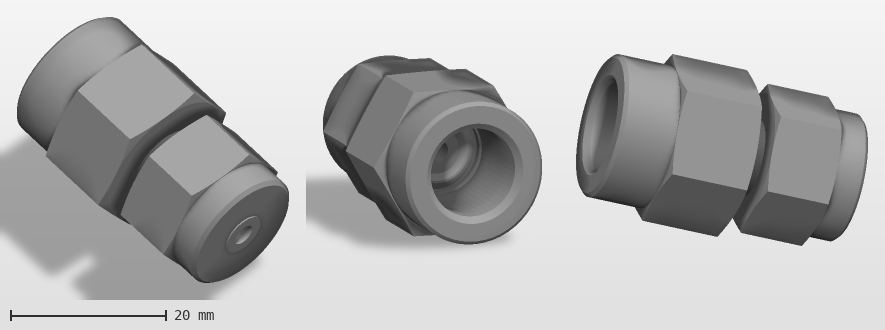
import cadquery as cq
import math

TOTAL_LENGTH = 34.0

COLLAR_DIAMETER = 18.8
COLLAR_LENGTH = 7.48
COLLAR_CHAMFER = 0.48
BODY_HEX_WIDTH = 19.0
BODY_HEX_LENGTH = 11.0
NECK_DIAMETER = 10.0
SPIGOT_DIAMETER = 5.78
THROUGH_DIAMETER = 3.0

SOCKET_MOUTH_DIAMETER = 13.2
SOCKET_DIAMETER = 11.55
SOCKET_DEPTH = 12.92
RELIEF_DIAMETER = 10.95
RELIEF_DEPTH = 1.02
NOSE_BASE_DIAMETER = 10.05
NOSE_TIP_DIAMETER = 8.3
NOSE_DISH_DIAMETER = 7.7
NOSE_FLOOR_DIAMETER = 6.0
NOSE_SLOPE = 30.0

NUT_START = 20.8
NUT_HEX_WIDTH = 17.0
NUT_HEX_LENGTH = 9.0
NUT_END_DIAMETER = 16.8
NUT_END_LENGTH = 3.98
NUT_END_CHAMFER = 0.5

HEX_CORNER_ANGLE = 15.0

BODY_HEX_END = COLLAR_LENGTH + BODY_HEX_LENGTH
NUT_HEX_END = NUT_START + NUT_HEX_LENGTH
NUT_END = NUT_HEX_END + NUT_END_LENGTH
NECK_END = NUT_HEX_END


def revolve_about_x(points):
    """Solid of revolution about the X axis from a closed (x, radius) outline."""
    return cq.Workplane("XY").polyline(points).close().revolve(360, (0, 0, 0), (1, 0, 0))


def cylinder(start, end, diameter):
    """Solid cylinder along X between two stations."""
    return cq.Workplane("YZ", origin=(start, 0, 0)).circle(diameter / 2).extrude(end - start)


def turned_hexagon(start, length, width):
    """Hexagon along X, flats facing +Z and -Z, with the corners turned off at both ends."""
    end = start + length
    flat_radius = width / 2
    corner_radius = flat_radius / math.cos(math.radians(30))
    setback = (corner_radius - flat_radius) * math.tan(math.radians(HEX_CORNER_ANGLE))
    prism = cq.Workplane("YZ", origin=(start, 0, 0)).polygon(6, 2 * corner_radius).extrude(length)
    envelope = revolve_about_x([
        (start, 0),
        (start, flat_radius),
        (start + setback, corner_radius),
        (end - setback, corner_radius),
        (end, flat_radius),
        (end, 0),
    ])
    return prism.intersect(envelope)


def make_socket():
    """Volume of the collar socket: countersunk bore, relief and the space around the nose."""
    mouth_depth = (SOCKET_MOUTH_DIAMETER - SOCKET_DIAMETER) / 2
    floor = SOCKET_DEPTH + RELIEF_DEPTH
    nose_rise = math.tan(math.radians(NOSE_SLOPE))
    nose_tip = floor - nose_rise * (NOSE_BASE_DIAMETER - NOSE_TIP_DIAMETER) / 2
    dish_floor = nose_tip + nose_rise * (NOSE_DISH_DIAMETER - NOSE_FLOOR_DIAMETER) / 2
    return revolve_about_x([
        (0, 0),
        (0, SOCKET_MOUTH_DIAMETER / 2),
        (mouth_depth, SOCKET_DIAMETER / 2),
        (SOCKET_DEPTH, SOCKET_DIAMETER / 2),
        (SOCKET_DEPTH, RELIEF_DIAMETER / 2),
        (floor, RELIEF_DIAMETER / 2),
        (floor, NOSE_BASE_DIAMETER / 2),
        (nose_tip, NOSE_TIP_DIAMETER / 2),
        (nose_tip, NOSE_DISH_DIAMETER / 2),
        (dish_floor, NOSE_FLOOR_DIAMETER / 2),
        (dish_floor, 0),
    ])


def make_fitting_body():
    """Collar and hexagon with a socket, and a bored neck and spigot that carry the nut."""
    collar = cylinder(0, COLLAR_LENGTH, COLLAR_DIAMETER).faces("<X").chamfer(COLLAR_CHAMFER)
    hexagon = turned_hexagon(COLLAR_LENGTH, BODY_HEX_LENGTH, BODY_HEX_WIDTH)
    neck = cylinder(BODY_HEX_END, NECK_END, NECK_DIAMETER)
    spigot = cylinder(NECK_END, TOTAL_LENGTH, SPIGOT_DIAMETER)
    through_hole = cylinder(0, TOTAL_LENGTH, THROUGH_DIAMETER)
    outside = collar.union(hexagon).union(neck).union(spigot)
    return outside.cut(make_socket()).cut(through_hole)


def make_union_nut():
    """Hexagon nut with a round end, bored to match the neck and the spigot."""
    hexagon = turned_hexagon(NUT_START, NUT_HEX_LENGTH, NUT_HEX_WIDTH)
    round_end = cylinder(NUT_HEX_END, NUT_END, NUT_END_DIAMETER).faces(">X").chamfer(NUT_END_CHAMFER)
    neck_bore = cylinder(NUT_START, NECK_END, NECK_DIAMETER)
    spigot_bore = cylinder(NECK_END, NUT_END, SPIGOT_DIAMETER)
    return hexagon.union(round_end).cut(neck_bore).cut(spigot_bore)


fitting_body = make_fitting_body()
union_nut = make_union_nut()

result = cq.Compound.makeCompound([fitting_body.val(), union_nut.val()])